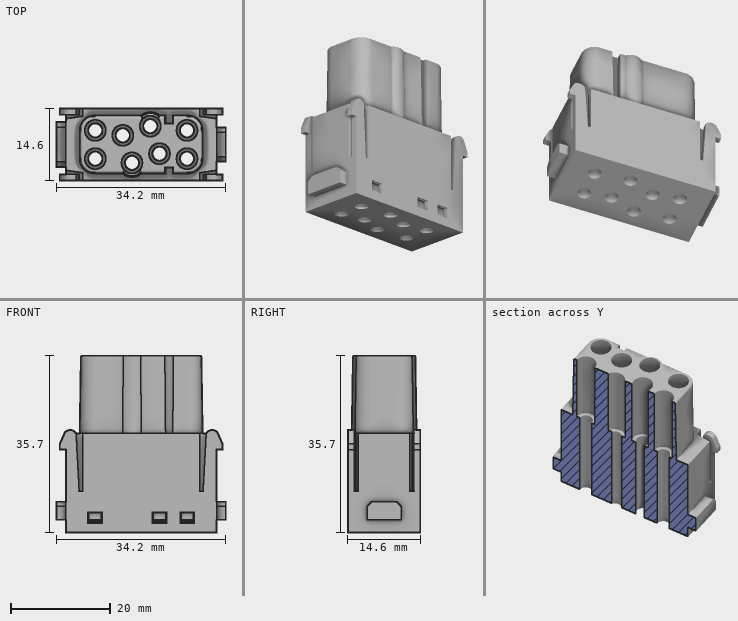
import cadquery as cq
import math

BODY_LENGTH = 30.4
BODY_WIDTH = 14.6
BODY_HEIGHT = 20.0
HALF_LENGTH = BODY_LENGTH / 2
HALF_WIDTH = BODY_WIDTH / 2

TOTAL_HEIGHT = 35.7
TOWER_HEIGHT = TOTAL_HEIGHT - BODY_HEIGHT
TOWER_LENGTH = 24.86
TOWER_WIDTH = 11.76
TOWER_CORNER_RADIUS = 3.1
TOWER_DRAFT = 0.9
TOWER_TOP_FILLET = 0.4
BULGE_RADIUS = 2.87

HOLE_PITCH = 1.85
OUTER_HOLE_X = 5 * HOLE_PITCH
INNER_HOLE_X = 2 * HOLE_PITCH
INNER_HOLE_Y = HOLE_PITCH
CORNER_HOLE_Y = 2.85
BULGE_X = HOLE_PITCH
BULGE_Y = 2 * HOLE_PITCH
SOCKET_DIAMETER = 4.25
SOCKET_DEPTH = TOWER_HEIGHT
CONTACT_DIAMETER = 2.8

GROOVE_X = 5.65
GROOVE_TOP_WIDTH = 1.74
GROOVE_DRAFT = 0.5
GROOVE_FLOOR_BACK = 4.2
GROOVE_FLOOR_FRONT = 4.55

SLOT_BOTTOM = 8.36
SLOT_INNER_X = 11.8
SLOT_INNER_Y = 5.7
SLOT_OUTER_Y = 5.2
ARM_THICKNESS = 1.3
ARM_BASE_X = 12.5
ARM_NECK_X = 13.13
ARM_CREST_X = 14.28
ARM_CREST_HEIGHT = 20.7
ARM_SHOULDER_X = 15.42
ARM_SHOULDER_HEIGHT = 20.15
HOOK_TIP_X = 16.42
HOOK_BOTTOM = 16.7
HOOK_TIP_TOP = 17.9

LUG_REACH = 1.9
LUG_BOTTOM = 2.54
LUG_TOP = 6.22
LEFT_LUG_WIDTH = 9.1
LEFT_LUG_CHAMFER = 1.1
RIGHT_LUG_WIDTH = 6.9
RIGHT_LUG_CHAMFER = 0.95
LUG_CHAMFER_HEIGHT = 0.95

WINDOW_CENTRES_X = (-9.3, 3.72, 9.3)
WINDOW_WIDTH = 2.9
WINDOW_BOTTOM = 1.87
WINDOW_TOP = 4.06
WINDOW_DEPTH = 0.4
RECESS_INSET = 0.2
RECESS_TOP_INSET = 0.1
RECESS_STEP = 0.12
LOWER_STEP_HEIGHT = 0.34
UPPER_STEP_HEIGHT = 0.13
RECESS_SLOPE = 20.0


def make_body():
    return cq.Workplane("XY").box(BODY_LENGTH, BODY_WIDTH, BODY_HEIGHT, centered=(True, True, False))


def make_tower():
    tower = (
        cq.Workplane("XY", origin=(0, 0, BODY_HEIGHT))
        .sketch()
        .rect(TOWER_LENGTH, TOWER_WIDTH)
        .vertices()
        .fillet(TOWER_CORNER_RADIUS)
        .finalize()
        .extrude(TOWER_HEIGHT, taper=TOWER_DRAFT)
    )
    for side in (-1, 1):
        bulge = (
            cq.Workplane("XY", origin=(side * BULGE_X, side * BULGE_Y, BODY_HEIGHT))
            .circle(BULGE_RADIUS)
            .extrude(TOWER_HEIGHT, taper=TOWER_DRAFT)
        )
        tower = tower.union(bulge)
    tower = tower.faces(">Z").edges().fillet(TOWER_TOP_FILLET)
    return tower.cut(make_groove(1, GROOVE_FLOOR_BACK)).cut(make_groove(-1, GROOVE_FLOOR_FRONT))


def make_groove(side, floor_y):
    """Groove cutter for the +Y (side=1) or -Y (side=-1) face, narrowing downwards."""
    cutter_length = HALF_WIDTH - floor_y
    return (
        cq.Workplane("XY", origin=(GROOVE_X, side * (floor_y + cutter_length / 2), TOTAL_HEIGHT))
        .rect(GROOVE_TOP_WIDTH, cutter_length)
        .extrude(-TOWER_HEIGHT, taper=GROOVE_DRAFT)
    )


def mirrored_to_corners(shape):
    """The shape at the (+X, +Y) corner together with its copies at the other three corners."""
    pair = shape.union(shape.mirror("YZ"))
    return pair.union(pair.mirror("XZ"))


def make_slot():
    """Clearance around the latch arm at the (+X, +Y) corner."""
    return (
        cq.Workplane("XY", origin=(0, 0, SLOT_BOTTOM))
        .moveTo(SLOT_INNER_X, SLOT_INNER_Y)
        .lineTo(HALF_LENGTH, SLOT_OUTER_Y)
        .lineTo(HALF_LENGTH, HALF_WIDTH)
        .lineTo(SLOT_INNER_X, HALF_WIDTH)
        .close()
        .extrude(BODY_HEIGHT - SLOT_BOTTOM)
    )


def make_latch_arm():
    """Latch arm with its hook and rounded crest at the (+X, +Y) corner."""
    return (
        cq.Workplane("XZ", origin=(0, HALF_WIDTH, 0))
        .moveTo(ARM_BASE_X, SLOT_BOTTOM)
        .lineTo(HALF_LENGTH, SLOT_BOTTOM)
        .lineTo(HALF_LENGTH, HOOK_BOTTOM)
        .lineTo(HOOK_TIP_X, HOOK_BOTTOM)
        .lineTo(HOOK_TIP_X, HOOK_TIP_TOP)
        .lineTo(ARM_SHOULDER_X, ARM_SHOULDER_HEIGHT)
        .threePointArc((ARM_CREST_X, ARM_CREST_HEIGHT), (ARM_NECK_X, BODY_HEIGHT))
        .close()
        .extrude(ARM_THICKNESS)
    )


def make_lug(side, width, chamfer):
    """Lug on the +X (side=1) or -X (side=-1) end, with its two upper corners cut off."""
    half_width = width / 2
    return (
        cq.Workplane("YZ", origin=(side * HALF_LENGTH, 0, 0))
        .moveTo(-half_width, LUG_BOTTOM)
        .lineTo(half_width, LUG_BOTTOM)
        .lineTo(half_width, LUG_TOP - LUG_CHAMFER_HEIGHT)
        .lineTo(half_width - chamfer, LUG_TOP)
        .lineTo(chamfer - half_width, LUG_TOP)
        .lineTo(-half_width, LUG_TOP - LUG_CHAMFER_HEIGHT)
        .close()
        .extrude(side * LUG_REACH)
    )


def make_window(centre_x):
    """Window cutter: a shallow pocket, then a smaller recess with a twice-stepped, sloping floor."""
    pocket_height = WINDOW_TOP - WINDOW_BOTTOM
    pocket_floor_y = WINDOW_DEPTH - HALF_WIDTH
    pocket = (
        cq.Workplane("XY", origin=(centre_x, -HALF_WIDTH, WINDOW_BOTTOM))
        .box(WINDOW_WIDTH, WINDOW_DEPTH, pocket_height, centered=(True, False, False))
    )

    recess_width = WINDOW_WIDTH - 2 * RECESS_INSET
    recess_bottom = WINDOW_BOTTOM + RECESS_INSET
    recess_top = WINDOW_TOP - RECESS_TOP_INSET
    step_y = pocket_floor_y + RECESS_STEP
    ledge_z = recess_bottom + LOWER_STEP_HEIGHT
    slope_y = step_y + RECESS_STEP
    slope_bottom_z = ledge_z + UPPER_STEP_HEIGHT
    slope_top_y = slope_y + (recess_top - slope_bottom_z) * math.tan(math.radians(RECESS_SLOPE))
    recess = (
        cq.Workplane("YZ", origin=(centre_x - recess_width / 2, 0, 0))
        .moveTo(pocket_floor_y, recess_bottom)
        .lineTo(step_y, recess_bottom)
        .lineTo(step_y, ledge_z)
        .lineTo(slope_y, ledge_z)
        .lineTo(slope_y, slope_bottom_z)
        .lineTo(slope_top_y, recess_top)
        .lineTo(pocket_floor_y, recess_top)
        .close()
        .extrude(recess_width)
    )
    return pocket.union(recess)


def drill_contact_holes(part):
    """Socket bores from the top, each continued to the underside by a narrower contact hole."""
    centres = [(x, y) for x in (-OUTER_HOLE_X, OUTER_HOLE_X) for y in (-CORNER_HOLE_Y, CORNER_HOLE_Y)]
    centres += [(BULGE_X, BULGE_Y), (-BULGE_X, -BULGE_Y)]
    centres += [(-INNER_HOLE_X, INNER_HOLE_Y), (INNER_HOLE_X, -INNER_HOLE_Y)]
    top = cq.Workplane("XY", origin=(0, 0, TOTAL_HEIGHT)).pushPoints(centres)
    part = part.cut(top.circle(SOCKET_DIAMETER / 2).extrude(-SOCKET_DEPTH))
    return part.cut(top.circle(CONTACT_DIAMETER / 2).extrude(-TOTAL_HEIGHT))


result = make_body().cut(mirrored_to_corners(make_slot()))
result = result.union(mirrored_to_corners(make_latch_arm()))
result = result.union(make_tower())
result = result.union(make_lug(-1, LEFT_LUG_WIDTH, LEFT_LUG_CHAMFER))
result = result.union(make_lug(1, RIGHT_LUG_WIDTH, RIGHT_LUG_CHAMFER))
for window_x in WINDOW_CENTRES_X:
    result = result.cut(make_window(window_x))
result = drill_contact_holes(result)